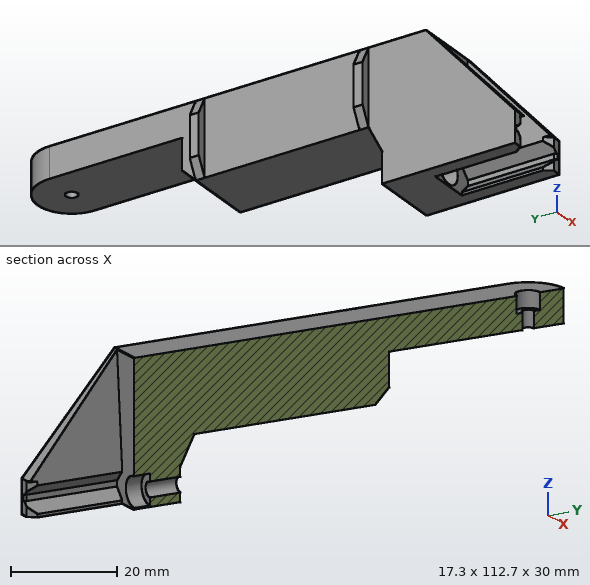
import cadquery as cq

length = 112.7
width = 15.3
height = 30.0
half_width = width / 2

arm_thickness = 7.0
middle_back = 75.1
middle_bottom = 13.0
middle_chamfer = 3.0
head_back = 30.0
head_back_height = 7.0
neck_front = 33.0
nose_height = 7.1
slope_top = 20.1

channel_back = 20.0
wall_top = 1.1
wall_ridge = 3.2
wall_groove = 1.1
groove_center = 3.5
ridge_offset = 2.8
groove_floor = 1.2

lead_depth = 1.7
lead_wall = 1.9
lead_height = 7.1
groove_lead_wall = 0.7
groove_lead_depth = 0.5

head_bore = 3.0
head_counterbore = 6.2
head_counterbore_depth = 3.4
arm_bore = 2.5
arm_counterbore = 5.0
arm_counterbore_depth = 3.5

rib_positions = (neck_front, 70.0)
rib_thickness = 2.0
rib_projection = 2.0
rib_chamfer = 4.0


def make_body():
    """Side outline extruded across the width, with the arm end rounded in plan."""
    arm_bottom = height - arm_thickness
    outline = [
        (0, 0),
        (head_back, 0),
        (head_back, head_back_height),
        (neck_front, middle_bottom),
        (middle_back - middle_chamfer, middle_bottom),
        (middle_back, middle_bottom + middle_chamfer),
        (middle_back, arm_bottom),
        (length, arm_bottom),
        (length, height),
        (slope_top, height),
        (0, nose_height),
    ]
    profile = cq.Workplane("YZ").polyline(outline).close().extrude(half_width, both=True)
    plan = (
        cq.Workplane("XY")
        .moveTo(-half_width, 0)
        .lineTo(half_width, 0)
        .lineTo(half_width, length - half_width)
        .threePointArc((0, length), (-half_width, length - half_width))
        .close()
        .extrude(height)
    )
    return profile.intersect(plan)


def make_channel():
    """Channel with tapered walls and a V groove in each wall near the bottom."""
    right_side = [
        (half_width - wall_ridge, 0),
        (half_width - wall_ridge, groove_center - ridge_offset),
        (half_width - wall_groove, groove_center - groove_floor / 2),
        (half_width - wall_groove, groove_center + groove_floor / 2),
        (half_width - wall_ridge, groove_center + ridge_offset),
        (half_width - wall_top, height),
    ]
    left_side = [(-x, z) for x, z in reversed(right_side)]
    return cq.Workplane("XZ").polyline(right_side + left_side).close().extrude(-channel_back)


def make_mouth(mouth_wall, inner_wall, depth, bottom, top):
    """Wedge centered in X that narrows from the nose face inward."""
    mouth_half = half_width - mouth_wall
    inner_half = half_width - inner_wall
    outline = [(-mouth_half, 0), (mouth_half, 0), (inner_half, depth), (-inner_half, depth)]
    return cq.Workplane("XY").workplane(offset=bottom).polyline(outline).close().extrude(top - bottom)


def make_head_bore():
    """Counterbored hole along Y through the back wall of the channel."""
    start = cq.Workplane("XZ", origin=(0, channel_back, groove_center))
    bore = start.circle(head_bore / 2).extrude(channel_back - head_back)
    return bore.union(start.circle(head_counterbore / 2).extrude(-head_counterbore_depth))


def make_arm_bore():
    """Vertical counterbored hole at the center of the rounded arm end."""
    start = cq.Workplane("XY", origin=(0, length - half_width, height))
    bore = start.circle(arm_bore / 2).extrude(-arm_thickness)
    return bore.union(start.circle(arm_counterbore / 2).extrude(-arm_counterbore_depth))


def make_rib(front):
    """Thin rib with sloped ends, standing out from the -X face."""
    outer = -half_width - rib_projection
    outline = [
        (0, middle_bottom),
        (-half_width, middle_bottom),
        (outer, middle_bottom + rib_chamfer),
        (outer, height - rib_chamfer),
        (-half_width, height),
        (0, height),
    ]
    rib_plane = cq.Workplane("XZ", origin=(0, front, 0))
    return rib_plane.polyline(outline).close().extrude(-rib_thickness)


result = make_body()
for rib_front in rib_positions:
    result = result.union(make_rib(rib_front))

groove_bottom = groove_center - groove_floor / 2
groove_top = groove_center + groove_floor / 2
result = (
    result
    .cut(make_channel())
    .cut(make_mouth(lead_wall, wall_ridge, lead_depth, 0, lead_height))
    .cut(make_mouth(groove_lead_wall, wall_groove, groove_lead_depth, groove_bottom, groove_top))
    .cut(make_head_bore())
    .cut(make_arm_bore())
)